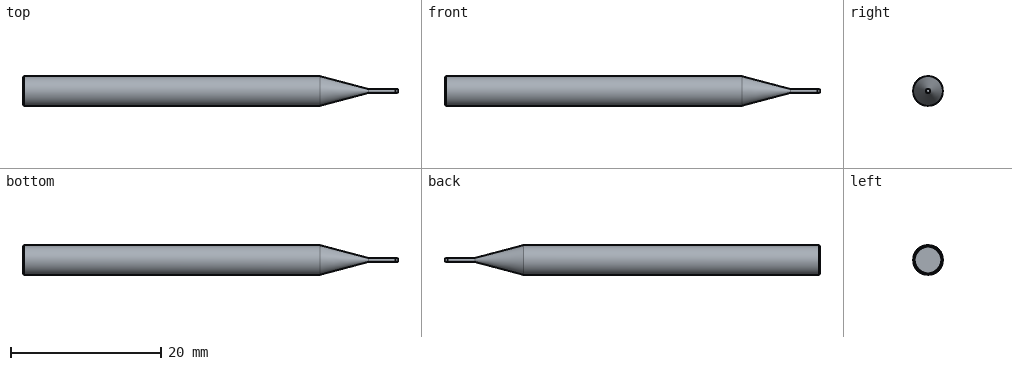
import cadquery as cq
import math

total_length = 50.0
shank_diameter = 4.0
shank_length = 39.5
rear_chamfer = 0.25
taper_end = 46.0
neck_diameter = 0.55
ball_diameter = 0.6

shank_radius = shank_diameter / 2
neck_radius = neck_diameter / 2
ball_radius = ball_diameter / 2

rear_x = -total_length / 2
tip_x = total_length / 2
taper_start_x = rear_x + shank_length
taper_end_x = rear_x + taper_end
ball_center_x = tip_x - ball_radius
head_start_x = ball_center_x - ball_radius / 2

arc_offset = ball_radius * math.sqrt(0.5)
arc_middle = (ball_center_x + arc_offset, arc_offset)

profile = (
    cq.Workplane("XY")
    .moveTo(rear_x, 0)
    .lineTo(rear_x, shank_radius - rear_chamfer)
    .lineTo(rear_x + rear_chamfer, shank_radius)
    .lineTo(taper_start_x, shank_radius)
    .lineTo(taper_end_x, neck_radius)
    .lineTo(head_start_x, neck_radius)
    .lineTo(head_start_x, ball_radius)
    .lineTo(ball_center_x, ball_radius)
    .threePointArc(arc_middle, (tip_x, 0))
    .close()
)

result = profile.revolve(360, (0, 0, 0), (1, 0, 0))